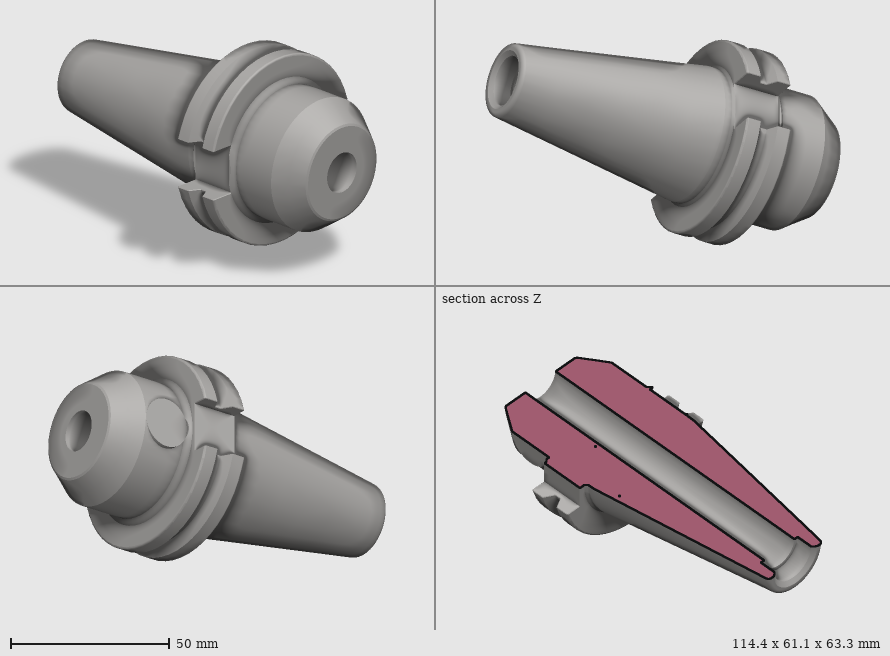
import cadquery as cq
import math

total_length = 114.4
gauge_plane_x = 68.3
flange_start_x = 71.5
flange_end_x = 87.5
nose_cone_x = 104.8

small_end_radius = 12.0
gauge_radius = 44.4 / 2
flange_radius = 63.3 / 2
nose_end_radius = 15.8

small_end_round = 1.5
front_corner_cone = 0.9
back_corner_cone = 1.8
flange_edge_round = 0.7
nose_end_chamfer = 0.5

flange_width = flange_end_x - flange_start_x
groove_center_x = (flange_start_x + flange_end_x) / 2
groove_floor_radius = 28.1
groove_floor_width = 2.2
groove_flank_angle = 30.0
groove_flank_run = (flange_radius - groove_floor_radius) * math.tan(math.radians(groove_flank_angle))

slot_width = 16.1
slot_edge_chamfer = 0.2
deep_slot_floor = 22.2
shallow_slot_floor = 25.1
back_cone_flat = 23.5

bore_diameter = 13.4
counterbore_diameter = 16.2
counterbore_depth = 7.3
mouth_diameter = 19.2
mouth_depth = 1.3

screw_diameter = 16.2
screw_x = 96.5


def revolve_about_x(outline):
    """Solid of revolution about the X axis from (x, radius) points."""
    return cq.Workplane("XY").polyline(outline).close().revolve(360, (0, 0, 0), (1, 0, 0))


def x_cylinder(start_x, end_x, radius):
    """Cylinder on the X axis between two places."""
    return cq.Workplane("YZ", origin=(start_x, 0, 0)).circle(radius).extrude(end_x - start_x)


def slot_block(start_x, length, side, floor):
    """Block of slot width lying outside a floor plane; side is +1 or -1 along Y."""
    depth = flange_radius - floor
    center = (start_x + length / 2, side * (floor + depth / 2), 0)
    return cq.Workplane("XY").box(length, depth, slot_width).translate(center)


def taper():
    """Steep taper with its rounded small end, short collar and corner cone."""
    body = revolve_about_x([
        (0, 0),
        (0, small_end_radius),
        (gauge_plane_x, gauge_radius),
        (flange_start_x - front_corner_cone, gauge_radius),
        (flange_start_x, gauge_radius + front_corner_cone),
        (flange_start_x, 0),
    ])
    return body.faces("<X").edges().fillet(small_end_round)


def flange():
    """Flange with rounded rims, gripper groove and two drive slots with chamfered edges."""
    body = x_cylinder(flange_start_x, flange_end_x, flange_radius)
    body = body.edges().fillet(flange_edge_round)

    half_floor = groove_floor_width / 2
    half_mouth = half_floor + groove_flank_run
    body = body.cut(revolve_about_x([
        (groove_center_x - half_floor, groove_floor_radius),
        (groove_center_x + half_floor, groove_floor_radius),
        (groove_center_x + half_mouth, flange_radius),
        (groove_center_x - half_mouth, flange_radius),
    ]))

    for side, floor in ((1, shallow_slot_floor), (-1, deep_slot_floor)):
        body = body.cut(slot_block(flange_start_x, flange_width, side, floor))
        for wall_z in (-slot_width / 2, slot_width / 2):
            body = chamfer_slot_wall(body, side, floor, wall_z)
    return body


def chamfer_slot_wall(body, side, floor, wall_z):
    """Chamfer every edge of one slot wall except the one on the slot floor."""
    tolerance = 0.01
    wall_edges = [
        edge
        for edge in body.edges().vals()
        if abs(edge.BoundingBox().zmin - wall_z) < tolerance
        and abs(edge.BoundingBox().zmax - wall_z) < tolerance
        and side * edge.Center().y > floor + tolerance
    ]
    return body.newObject(wall_edges).chamfer(slot_edge_chamfer)


def nose():
    """Nose with a corner cone behind the flange and a conical, chamfered end."""
    body = revolve_about_x([
        (flange_end_x, 0),
        (flange_end_x, gauge_radius + back_corner_cone),
        (flange_end_x + back_corner_cone, gauge_radius),
        (nose_cone_x, gauge_radius),
        (total_length, nose_end_radius),
        (total_length, 0),
    ])
    body = body.faces(">X").edges().chamfer(nose_end_chamfer)
    return body.cut(slot_block(flange_end_x, back_corner_cone, -1, back_cone_flat))


def screw_cylinder(start_y, end_y):
    """Cylinder on the axis of the clamping screw between two heights on the +Y side."""
    profile = cq.Workplane("XZ", origin=(screw_x, end_y, 0)).circle(screw_diameter / 2)
    return profile.extrude(end_y - start_y)


def axial_bore():
    """Through bore with a counterbore and a conical mouth at the small end."""
    mouth = revolve_about_x([
        (0, 0),
        (0, mouth_diameter / 2),
        (mouth_depth, counterbore_diameter / 2),
        (mouth_depth, 0),
    ])
    counterbore = x_cylinder(0, counterbore_depth, counterbore_diameter / 2)
    bore = x_cylinder(0, total_length, bore_diameter / 2)
    return bore.union(counterbore).union(mouth)


result = taper().union(flange()).union(nose())

result = result.union(screw_cylinder(bore_diameter / 2, gauge_radius))
result = result.cut(screw_cylinder(gauge_radius, flange_radius))

result = result.cut(axial_bore())